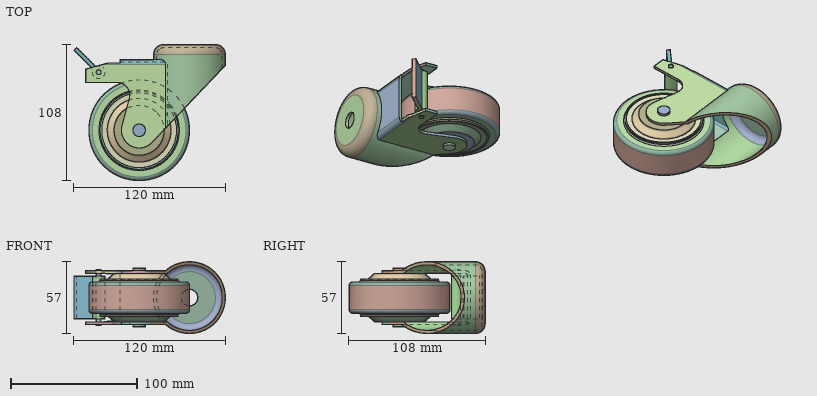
import cadquery as cq
import math


wheel_radius = 40.0
tyre_half_width = 12.5
tyre_fillet = 2.9
rim_radius = 31.0
rim_root_radius = 31.9
rim_inner_radius = 29.7
rim_half_width = 14.9
rim_chamfer_height = 1.3
rim_face_half_width = 14.4
hub_base_radius = 25.3
hub_top_radius = 20.3
hub_edge_chamfer = 0.5
hub_root_radius = 24.9
hub_root_height = 0.4

cup_diameter = 57.0
cup_x = 39.9
cup_top = 68.0
cup_fillet = 7.9
cup_wall = 2.5
stem_hole_diameter = 13.0

sheet = 2.2
fork_half_width = 21.4
fork_inner_half_width = fork_half_width - sheet
bend_radius = 4.1
web_top = 56.1
web_left = -15.0
arm_left = -42.5
arm_bottom = 37.8
arm_end_top = 48.5
arm_flat_left = -24.4
arm_flat_top = 53.4
leg_end_radius = 14.0
notch_radius = 10.0
notch_x = -17.4
slope_top = 51.5

axle_diameter = 10.0
axle_half_length = 23.3
pin_diameter = 4.0
pin_half_length = 22.2
pin_x = -32.0
pin_y = 46.0
barrel_diameter = 10.0
pedal_half_width = 16.9
pedal_thickness = 3.1
pedal_length = 26.2
pedal_angle = 135


def on_circle(center_x, center_y, radius, angle):
    """Point on a circle, with the angle in radians."""
    return (center_x + radius * math.cos(angle), center_y + radius * math.sin(angle))


def block(left, right, bottom, top, half_width):
    """Box centred on the wheel mid-plane."""
    return (
        cq.Workplane("XY", origin=((left + right) / 2, (bottom + top) / 2, 0))
        .box(right - left, top - bottom, 2 * half_width)
    )


def rod(x, y, diameter, half_length):
    """Round bar parallel to the wheel axis."""
    return cq.Workplane("XY", origin=(x, y, 0)).circle(diameter / 2).extrude(half_length, both=True)


def make_wheel():
    tyre = rod(0, 0, 2 * wheel_radius, tyre_half_width).edges().fillet(tyre_fillet)
    half_section = [
        (0, 0),
        (rim_root_radius, 0),
        (rim_root_radius, tyre_half_width),
        (rim_radius, rim_half_width - rim_chamfer_height),
        (rim_radius, rim_half_width),
        (rim_inner_radius, rim_half_width),
        (rim_inner_radius, rim_face_half_width),
        (hub_base_radius, rim_face_half_width),
        (hub_root_radius, rim_face_half_width + hub_root_height),
        (hub_top_radius, fork_inner_half_width - hub_edge_chamfer),
        (hub_top_radius - hub_edge_chamfer, fork_inner_half_width),
        (0, fork_inner_half_width),
    ]
    half_hub = cq.Workplane("XZ").polyline(half_section).close().revolve(360, (0, 0, 0), (0, 1, 0))
    return tyre.union(half_hub).union(half_hub.mirror("XY"))


def make_cup_body(radius, top, fillet):
    """Upright cylinder on the swivel axis with a rounded top edge."""
    bottom = -leg_end_radius
    return (
        cq.Workplane("XZ", origin=(cup_x, bottom, 0))
        .circle(radius)
        .extrude(bottom - top)
        .faces(">Y").edges().fillet(fillet)
    )


def make_side_profile():
    """Side outline of fork and cup, used to trim both."""
    cup_right = cup_x + cup_diameter / 2
    corner_distance = math.hypot(cup_right, slope_top)
    slope_angle = math.atan2(slope_top, cup_right) - math.acos(leg_end_radius / corner_distance)
    notch_y = arm_bottom - notch_radius
    lean = math.asin((leg_end_radius + notch_radius) / math.hypot(notch_x, notch_y))
    notch_end_angle = math.atan2(notch_y, notch_x) - lean - math.pi / 2
    leg_start_angle = notch_end_angle + math.pi
    notch_mid_angle = (notch_end_angle + math.pi / 2) / 2
    leg_mid_angle = (leg_start_angle + slope_angle + 2 * math.pi) / 2
    return (
        cq.Workplane("XY")
        .moveTo(*on_circle(0, 0, leg_end_radius, slope_angle))
        .lineTo(cup_right, slope_top)
        .lineTo(cup_right, cup_top)
        .lineTo(web_left, cup_top)
        .lineTo(web_left, arm_flat_top)
        .lineTo(arm_flat_left, arm_flat_top)
        .lineTo(arm_left, arm_end_top)
        .lineTo(arm_left, arm_bottom)
        .lineTo(notch_x, arm_bottom)
        .threePointArc(
            on_circle(notch_x, notch_y, notch_radius, notch_mid_angle),
            on_circle(notch_x, notch_y, notch_radius, notch_end_angle),
        )
        .lineTo(*on_circle(0, 0, leg_end_radius, leg_start_angle))
        .threePointArc(
            on_circle(0, 0, leg_end_radius, leg_mid_angle),
            on_circle(0, 0, leg_end_radius, slope_angle),
        )
        .close()
        .extrude(cup_diameter / 2, both=True)
    )


def make_fork():
    bottom = -leg_end_radius
    outer = block(arm_left, cup_x, bottom, web_top, fork_half_width)
    outer = outer.edges("|X and >Y").fillet(bend_radius)
    inner = block(arm_left, cup_x, bottom, web_top - sheet, fork_inner_half_width)
    inner = inner.edges("|X and >Y").fillet(bend_radius - sheet)
    cup_radius = cup_diameter / 2
    cup = make_cup_body(cup_radius, cup_top, cup_fillet)
    cup_hollow = make_cup_body(cup_radius - cup_wall, cup_top - cup_wall, cup_fillet - cup_wall)
    stem_hole = (
        cq.Workplane("XZ", origin=(cup_x, cup_top, 0)).circle(stem_hole_diameter / 2).extrude(2 * cup_wall)
    )
    shell = outer.union(cup).cut(inner).cut(cup_hollow).cut(stem_hole)
    return shell.intersect(make_side_profile())


def make_brake():
    plate = (
        block(0, pedal_length, -pedal_thickness / 2, pedal_thickness / 2, pedal_half_width)
        .rotate((0, 0, 0), (0, 0, 1), pedal_angle)
        .translate((pin_x, pin_y, 0))
    )
    barrel = rod(pin_x, pin_y, barrel_diameter, pedal_half_width)
    pin = rod(pin_x, pin_y, pin_diameter, pin_half_length)
    return plate.union(barrel).union(pin)


axle = rod(0, 0, axle_diameter, axle_half_length)
result = make_fork().union(make_wheel()).union(axle).union(make_brake())